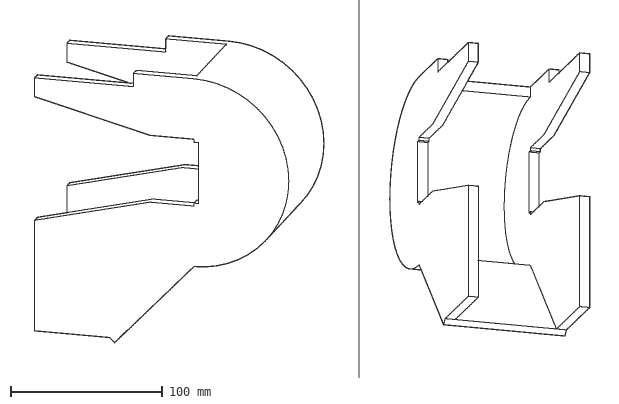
import cadquery as cq
import math

length = 175.0
width = 84.0
height = 188.3
wall = 7.0

back_radius = 65.24
center_x = length - back_radius
center_z = height - back_radius
back_bottom_z = center_z - back_radius

floor_tip_x = 55.2
floor_angle = math.atan2(back_bottom_z, center_x - floor_tip_x)
floor_thickness = wall * math.cos(floor_angle)
floor_end_x = floor_tip_x - floor_thickness * math.sin(floor_angle)
floor_end_z = floor_thickness * math.cos(floor_angle)

mouth_half_opening = 43.0
throat_half_height = 23.2
throat_start_x = 79.5
recess_half_height = 21.0
recess_depth = 3.0
recess_x = center_x + recess_depth

step_x = 68.0
step_drop = 9.2


def side_plate():
    """One side plate at full outline, starting at the Y = 0 face."""
    return (
        cq.Workplane("XZ")
        .moveTo(step_x, height)
        .lineTo(center_x, height)
        .threePointArc((length, center_z), (center_x, back_bottom_z))
        .lineTo(floor_tip_x, 0)
        .lineTo(floor_end_x, floor_end_z)
        .lineTo(0, floor_end_z)
        .lineTo(0, center_z - mouth_half_opening)
        .lineTo(throat_start_x, center_z - throat_half_height)
        .lineTo(center_x, center_z - throat_half_height)
        .lineTo(center_x, center_z - recess_half_height)
        .lineTo(recess_x, center_z - recess_half_height)
        .lineTo(recess_x, center_z + recess_half_height)
        .lineTo(center_x, center_z + recess_half_height)
        .lineTo(center_x, center_z + throat_half_height)
        .lineTo(throat_start_x, center_z + throat_half_height)
        .lineTo(0, center_z + mouth_half_opening)
        .lineTo(0, height - step_drop)
        .lineTo(step_x, height - step_drop)
        .close()
        .extrude(-wall)
    )


def back_and_floor():
    """Curved back wall running into the sloping floor, across the full width."""
    inner_radius = back_radius - wall
    return (
        cq.Workplane("XZ")
        .moveTo(center_x, height)
        .threePointArc((length, center_z), (center_x, back_bottom_z))
        .lineTo(floor_tip_x, 0)
        .lineTo(floor_end_x, floor_end_z)
        .lineTo(center_x, back_bottom_z + wall)
        .threePointArc((center_x + inner_radius, center_z), (center_x, height - wall))
        .close()
        .extrude(-width)
    )


result = back_and_floor()
for plate_y in (0, width - wall):
    result = result.union(side_plate().translate((0, plate_y, 0)))